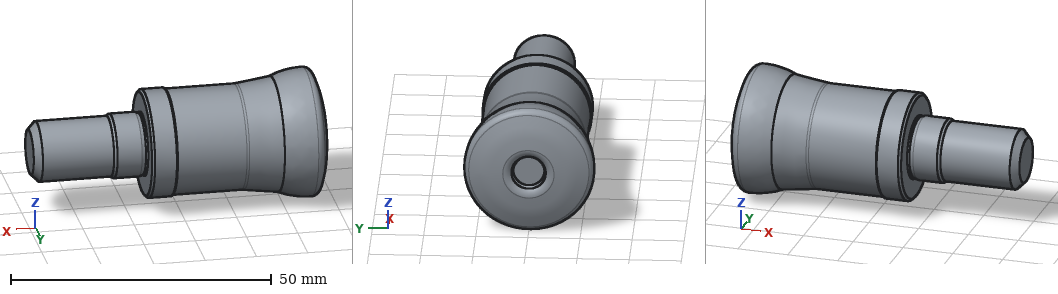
import math

import cadquery as cq

overall_length = 56.99

head_radius = 25.0 / 2
head_round_end = 2.95
face_round = 19.0
face_round_offset = 4.0
face_edge_radius = 11.55
cap_length = 9.3
cap_end_radius = 11.17

mouth_radius = 4.92
mouth_depth = 0.78
throat_radius = 3.3
peg_radius = 2.97
peg_start = 1.75

body_radius = 20.5 / 2
neck_end = 16.0
blend_length = 0.5
collar_start = 30.0
collar_end = 35.0
collar_radius = 21.0 / 2
collar_chamfer = 0.5

groove_radius = 6.0
groove_shoulder_radius = 6.2
groove_bottom = 35.4
boss_radius = 12.5 / 2
boss_start = 36.2
boss_end = 41.0
boss_chamfer_length = 0.6
pin_radius = 11.75 / 2
pin_chamfer = 1.5


def round_drop(radius, run):
    """How far an arc of this radius falls below its tangent line at a distance along that line."""
    return radius - math.sqrt(radius**2 - run**2)


def tangent_arc_radius(run, drop):
    """Radius of the arc that leaves its tangent line and falls by `drop` over the distance `run`."""
    return (run**2 + drop**2) / (2 * drop)


def face_x(radius):
    """X of the crowned front face at a distance from the axis."""
    rim_drop = round_drop(face_round, mouth_radius - face_round_offset)
    return round_drop(face_round, radius - face_round_offset) - rim_drop


def revolve_about_x(profile):
    return profile.close().revolve(360, (0, 0, 0), (1, 0, 0))


def make_cap():
    face_middle_radius = (mouth_radius + face_edge_radius) / 2
    face_middle = (face_x(face_middle_radius), face_middle_radius)
    face_edge = (face_x(face_edge_radius), face_edge_radius)

    mouth_width = mouth_radius - throat_radius
    mouth_round = tangent_arc_radius(mouth_width, mouth_depth)
    mouth_middle = (round_drop(mouth_round, mouth_width / 2), mouth_radius - mouth_width / 2)

    bulge_length = cap_length - head_round_end
    bulge_round = tangent_arc_radius(bulge_length, head_radius - cap_end_radius)
    bulge_middle = (
        head_round_end + bulge_length / 2,
        head_radius - round_drop(bulge_round, bulge_length / 2),
    )

    profile = (
        cq.Workplane("XY")
        .moveTo(cap_length, peg_radius)
        .lineTo(peg_start, peg_radius)
        .lineTo(mouth_depth, throat_radius)
        .threePointArc(mouth_middle, (0, mouth_radius))
        .threePointArc(face_middle, face_edge)
        .tangentArcPoint((head_round_end, head_radius), relative=False)
        .threePointArc(bulge_middle, (cap_length, cap_end_radius))
    )
    return revolve_about_x(profile)


def make_bolt():
    neck_length = neck_end - cap_length
    neck_slope = (cap_end_radius - body_radius) / (neck_length + blend_length / 2)
    neck_end_radius = body_radius + neck_slope * blend_length / 2
    collar_step = collar_radius - body_radius
    profile = (
        cq.Workplane("XY")
        .moveTo(peg_start, 0)
        .lineTo(peg_start, peg_radius)
        .lineTo(cap_length, peg_radius)
        .lineTo(cap_length, cap_end_radius)
        .lineTo(neck_end, neck_end_radius)
        .tangentArcPoint((neck_end + blend_length, body_radius), relative=False)
        .lineTo(collar_start, body_radius)
        .lineTo(collar_start + collar_step, collar_radius)
        .lineTo(collar_end - collar_chamfer, collar_radius)
        .lineTo(collar_end, collar_radius - collar_chamfer)
        .lineTo(collar_end, groove_shoulder_radius)
        .lineTo(groove_bottom, groove_radius)
        .lineTo(boss_start, boss_radius)
        .lineTo(boss_end, boss_radius)
        .lineTo(boss_end + boss_chamfer_length, pin_radius)
        .lineTo(overall_length - pin_chamfer, pin_radius)
        .lineTo(overall_length, pin_radius - pin_chamfer)
        .lineTo(overall_length, 0)
    )
    return revolve_about_x(profile)


cap = make_cap()
bolt = make_bolt()

result = cq.Compound.makeCompound([cap.val(), bolt.val()])